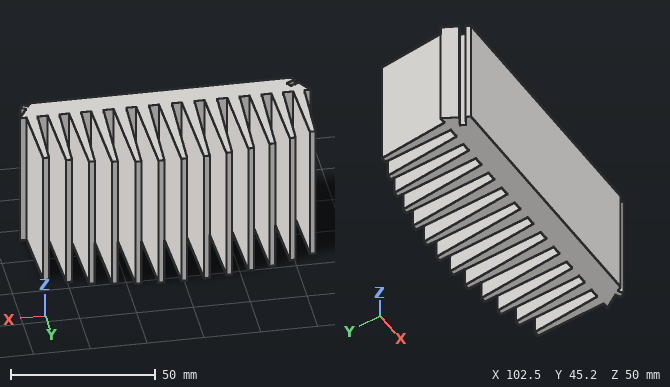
import cadquery as cq
import math

WIDTH = 102.5
LENGTH = 50.0
BASE_THICKNESS = 9.1
FLANK_ANGLE = 30.0

FIN_TIP_WIDTH = 2.0
FIN_TAPER = 2.0
FINS = [
    (0.0, 45.2),
    (8.0, 44.9),
    (16.0, 44.2),
    (24.0, 42.7),
    (31.8, 41.2),
    (39.4, 38.7),
    (46.9, 36.0),
]

JOINT_START = 6.5
GROOVE_WIDTH = 2.2
GROOVE_DEPTH = 3.6
TONGUE_WIDTH = 2.0
TONGUE_HEIGHT = 2.2
OVERLAP = 0.5


def extrude_profile(points):
    return cq.Workplane("XY").polyline(points).close().extrude(LENGTH)


def make_base():
    top_half = WIDTH / 2
    bottom_half = top_half - BASE_THICKNESS * math.tan(math.radians(FLANK_ANGLE))
    return extrude_profile([
        (-bottom_half, 0),
        (bottom_half, 0),
        (top_half, BASE_THICKNESS),
        (-top_half, BASE_THICKNESS),
    ])


def make_fin(center, tip_height):
    """Symmetric tapered fin, widening from its tip towards the base."""
    root_height = BASE_THICKNESS - OVERLAP
    tip_half = FIN_TIP_WIDTH / 2
    taper_run = (tip_height - root_height) * math.tan(math.radians(FIN_TAPER))
    root_half = tip_half + taper_run
    return extrude_profile([
        (center - root_half, root_height),
        (center + root_half, root_height),
        (center + tip_half, tip_height),
        (center - tip_half, tip_height),
    ])


def flank_bar(side, width, inner, outer):
    """Bar square to a flank; side is -1 or +1, inner and outer are offsets along its outward normal."""
    sine = math.sin(math.radians(FLANK_ANGLE))
    cosine = math.cos(math.radians(FLANK_ANGLE))

    def flank_point(down, out):
        x = WIDTH / 2 - down * sine + out * cosine
        y = BASE_THICKNESS - down * cosine - out * sine
        return (side * x, y)

    end = JOINT_START + width
    return extrude_profile([
        flank_point(JOINT_START, inner),
        flank_point(JOINT_START, outer),
        flank_point(end, outer),
        flank_point(end, inner),
    ])


result = make_base()
for offset, height in FINS:
    result = result.union(make_fin(offset, height))
    if offset > 0:
        result = result.union(make_fin(-offset, height))

groove = flank_bar(-1, GROOVE_WIDTH, -GROOVE_DEPTH, OVERLAP)
tongue = flank_bar(1, TONGUE_WIDTH, -OVERLAP, TONGUE_HEIGHT)
result = result.cut(groove).union(tongue)